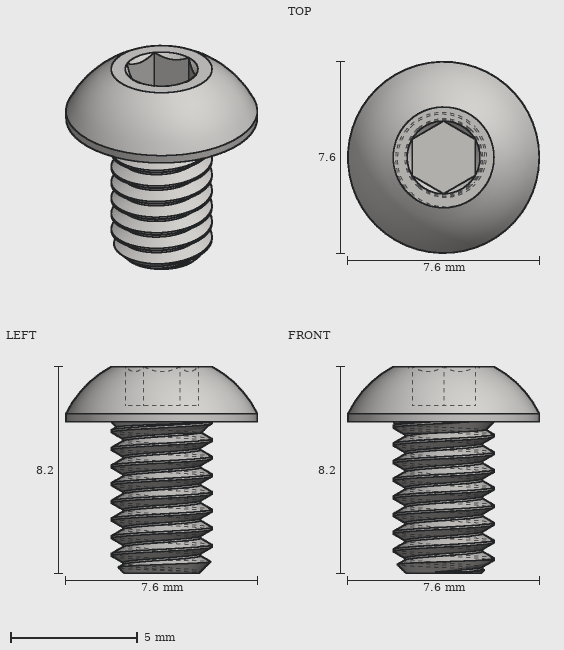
import cadquery as cq
import math

total_height = 8.2
head_height = 2.2
head_radius = 7.6 / 2
rim_height = 0.33
top_flat_radius = 2.0

socket_width = 2.5
socket_depth = 1.54

thread_radius = 2.0
seven_pitches = 4.9
pitch = seven_pitches / 7
crest_flat = pitch / 8
root_flat = pitch / 8
flank_angle = 30.0
crest_start = 0.56
tip_radius = 1.49
groove_overshoot = 0.03
trim_clearance = 0.08

bearing_z = total_height - head_height
flank_slope = math.tan(math.radians(flank_angle))
thread_depth = (pitch - crest_flat - root_flat) / 2 / flank_slope
root_radius = thread_radius - thread_depth


def make_head():
    """Domed head with a short straight rim."""
    rim_top_z = bearing_z + rim_height
    dome_centre_z = (total_height**2 + top_flat_radius**2 - rim_top_z**2 - head_radius**2) / (
        2 * (total_height - rim_top_z)
    )
    dome_radius = math.hypot(top_flat_radius, total_height - dome_centre_z)
    return (
        cq.Workplane("XZ")
        .moveTo(0, bearing_z)
        .lineTo(head_radius, bearing_z)
        .lineTo(head_radius, rim_top_z)
        .radiusArc((top_flat_radius, total_height), -dome_radius)
        .lineTo(0, total_height)
        .close()
        .revolve(360, (0, 0, 0), (0, 1, 0))
    )


def make_socket():
    """Blind hexagon with two corners on the Y axis, and its conical countersink."""
    corner_radius = socket_width / 2 / math.cos(math.radians(30))
    hexagon = (
        cq.Workplane("XY", origin=(0, 0, total_height))
        .transformed(rotate=(0, 0, 90))
        .polygon(6, 2 * corner_radius)
        .extrude(-socket_depth)
    )
    countersink = cq.Solid.makeCone(
        corner_radius, 0, corner_radius, cq.Vector(0, 0, total_height), cq.Vector(0, 0, -1)
    )
    return hexagon.union(cq.Workplane(countersink))


def make_helical_bar(section, turns):
    """Solid that carries a (radius, height) section on the +X side up a right-handed helix."""
    rise = turns * pitch
    edges = [cq.Wire.makeHelix(pitch, rise, radius, cq.Vector(0, 0, z)) for radius, z in section]
    faces = []
    for index, edge in enumerate(edges):
        faces += cq.Face.makeRuledSurface(edges[index - 1], edge).Faces()
    for end_rise in (0, rise):
        corners = [cq.Vector(radius, 0, z + end_rise) for radius, z in section]
        faces.append(cq.Face.makeFromWires(cq.Wire.makePolygon(corners, close=True)))
    return cq.Workplane(cq.Solid.makeSolid(cq.Shell.makeShell(faces)).fix())


def make_groove():
    """Helical cutter between neighbouring crests, running past both shank ends."""
    start_z = crest_start - 1.5 * pitch
    turns = math.ceil(bearing_z / pitch) + 2
    outer_radius = thread_radius + groove_overshoot
    inner_half = root_flat / 2
    outer_half = inner_half + (outer_radius - root_radius) * flank_slope
    section = [
        (root_radius, start_z + inner_half),
        (outer_radius, start_z + outer_half),
        (outer_radius, start_z - outer_half),
        (root_radius, start_z - inner_half),
    ]
    return make_helical_bar(section, turns)


def make_shank():
    """Threaded shank with a 45 degree chamfered tip and a 45 degree cone under the head."""
    thread = cq.Workplane("XY").circle(thread_radius).extrude(bearing_z).cut(make_groove())
    trim_radius = thread_radius + trim_clearance
    tip_trim = (
        cq.Workplane("XY")
        .circle(trim_radius)
        .extrude(bearing_z)
        .faces("<Z")
        .chamfer(trim_radius - tip_radius)
    )
    runout_cone = cq.Solid.makeCone(
        root_radius, thread_radius, thread_depth, cq.Vector(0, 0, bearing_z - thread_depth)
    )
    return thread.intersect(tip_trim).union(cq.Workplane(runout_cone))


result = make_head().cut(make_socket()).union(make_shank())